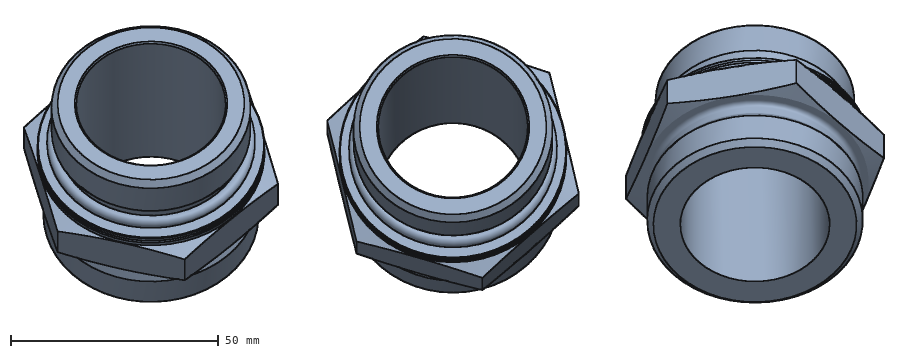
import cadquery as cq
import math

TOTAL_HEIGHT = 47.5
HEX_BOTTOM = 16.0
HEX_TOP = 27.0
COLLAR_TOP = 30.0

HEX_ACROSS_FLATS = 55.0
HEX_ACROSS_CORNERS = HEX_ACROSS_FLATS / math.cos(math.radians(30))
HEX_CHAMFER_ANGLE = 15.0

COLLAR_DIAMETER = 54.8
COLLAR_CHAMFER = 0.2
COLLAR_GROOVE_RADIUS = 0.5
COLLAR_GROOVE_WIDTH = 0.8
COLLAR_GROOVE_BOTTOM = 28.1

LOWER_DIAMETER = 52.0
LOWER_NECK_DIAMETER = 49.0
LOWER_SHOULDER = 10.0
LOWER_NECK_FILLET = 1.2

UPPER_DIAMETER = 48.0
UPPER_NECK_DIAMETER = 45.0
UPPER_NECK_TOP = 34.0
UPPER_NECK_FILLET = 0.4

RUNOUT = math.radians(30)
END_CHAMFER = 1.5

BORE_DIAMETER = 36.0
BORE_CHAMFER = 0.4

RING_SECTION = 3.0
RING_OUTER_DIAMETER = 50.2


def runout_height(outer_diameter, neck_diameter):
    """Axial length of the cone between a threaded end and its neck."""
    return (outer_diameter - neck_diameter) / 2 / math.tan(RUNOUT)


def runout_tangent(fillet):
    """Distance from the corner of cone and neck to the tangent points of their fillet."""
    return fillet * math.tan(RUNOUT / 2)


def revolve_about_axis(outline):
    """Solid of revolution of a closed outline, drawn as (radius, height), about the Z axis."""
    return outline.revolve(360, (0, 0, 0), (0, 1, 0))


def make_lower_end():
    """Threaded end with a conical runout and a filleted neck up to the hexagon."""
    radius = LOWER_DIAMETER / 2
    neck_radius = LOWER_NECK_DIAMETER / 2
    fillet = LOWER_NECK_FILLET
    cone_top = LOWER_SHOULDER + runout_height(LOWER_DIAMETER, LOWER_NECK_DIAMETER)

    tangent = runout_tangent(fillet)
    cone_tangent = (neck_radius + tangent * math.sin(RUNOUT), cone_top - tangent * math.cos(RUNOUT))
    neck_tangent = (neck_radius, cone_top + tangent)

    outline = (
        cq.Workplane("XZ")
        .moveTo(0, 0)
        .lineTo(radius - END_CHAMFER, 0)
        .lineTo(radius, END_CHAMFER)
        .lineTo(radius, LOWER_SHOULDER)
        .lineTo(*cone_tangent)
        .radiusArc(neck_tangent, fillet)
        .lineTo(neck_radius, HEX_BOTTOM - fillet)
        .radiusArc((neck_radius + fillet, HEX_BOTTOM), fillet)
        .lineTo(0, HEX_BOTTOM)
        .close()
    )
    return revolve_about_axis(outline)


def make_hexagon():
    """Hexagon with its corners turned off conically at both ends."""
    prism = (
        cq.Workplane("XY", origin=(0, 0, HEX_BOTTOM))
        .transformed(rotate=(0, 0, 90))
        .polygon(6, HEX_ACROSS_CORNERS)
        .extrude(HEX_TOP - HEX_BOTTOM)
    )
    face_radius = COLLAR_DIAMETER / 2
    corner_radius = HEX_ACROSS_CORNERS / 2
    drop = (corner_radius - face_radius) * math.tan(math.radians(HEX_CHAMFER_ANGLE))
    outline = (
        cq.Workplane("XZ")
        .moveTo(0, HEX_BOTTOM)
        .lineTo(face_radius, HEX_BOTTOM)
        .lineTo(corner_radius, HEX_BOTTOM + drop)
        .lineTo(corner_radius, HEX_TOP - drop)
        .lineTo(face_radius, HEX_TOP)
        .lineTo(0, HEX_TOP)
        .close()
    )
    return prism.intersect(revolve_about_axis(outline))


def make_collar():
    """Round collar on the hexagon with a chamfered rim and a round-bottomed groove."""
    radius = COLLAR_DIAMETER / 2
    groove_top = COLLAR_GROOVE_BOTTOM + COLLAR_GROOVE_WIDTH
    outline = (
        cq.Workplane("XZ")
        .moveTo(0, HEX_TOP)
        .lineTo(radius, HEX_TOP)
        .lineTo(radius, COLLAR_GROOVE_BOTTOM)
        .radiusArc((radius, groove_top), COLLAR_GROOVE_RADIUS)
        .lineTo(radius, COLLAR_TOP - COLLAR_CHAMFER)
        .lineTo(radius - COLLAR_CHAMFER, COLLAR_TOP)
        .lineTo(0, COLLAR_TOP)
        .close()
    )
    return revolve_about_axis(outline)


def make_upper_end():
    """Filleted neck, conical runout and chamfered threaded end."""
    radius = UPPER_DIAMETER / 2
    neck_radius = UPPER_NECK_DIAMETER / 2
    fillet = UPPER_NECK_FILLET
    cone_top = UPPER_NECK_TOP + runout_height(UPPER_DIAMETER, UPPER_NECK_DIAMETER)
    tangent = runout_tangent(fillet)
    neck_tangent = (neck_radius, UPPER_NECK_TOP - tangent)
    cone_tangent = (neck_radius + tangent * math.sin(RUNOUT), UPPER_NECK_TOP + tangent * math.cos(RUNOUT))

    outline = (
        cq.Workplane("XZ")
        .moveTo(0, COLLAR_TOP)
        .lineTo(neck_radius, COLLAR_TOP)
        .lineTo(*neck_tangent)
        .radiusArc(cone_tangent, fillet)
        .lineTo(radius, cone_top)
        .lineTo(radius, TOTAL_HEIGHT - END_CHAMFER)
        .lineTo(radius - END_CHAMFER, TOTAL_HEIGHT)
        .lineTo(0, TOTAL_HEIGHT)
        .close()
    )
    return revolve_about_axis(outline)


def make_bore():
    """Through bore, widened by a small chamfer at the top face."""
    radius = BORE_DIAMETER / 2
    outline = (
        cq.Workplane("XZ")
        .moveTo(0, 0)
        .lineTo(radius, 0)
        .lineTo(radius, TOTAL_HEIGHT - BORE_CHAMFER)
        .lineTo(radius + BORE_CHAMFER, TOTAL_HEIGHT)
        .lineTo(0, TOTAL_HEIGHT)
        .close()
    )
    return revolve_about_axis(outline)


def make_fitting(ring):
    """Threaded fitting with a hexagon, a collar, a through bore and a seat for the ring."""
    solid = make_lower_end().union(make_hexagon()).union(make_collar()).union(make_upper_end())
    return solid.cut(make_bore()).cut(ring)


def make_seal_ring():
    """Round-section ring that rests on the collar, around the neck."""
    section_radius = RING_SECTION / 2
    centre_radius = RING_OUTER_DIAMETER / 2 - section_radius
    centre_height = COLLAR_TOP + section_radius
    outline = cq.Workplane("XZ").moveTo(centre_radius, centre_height).circle(section_radius)
    return revolve_about_axis(outline)


seal_ring = make_seal_ring()
fitting = make_fitting(seal_ring)

result = cq.Compound.makeCompound([fitting.solids().val(), seal_ring.val()])